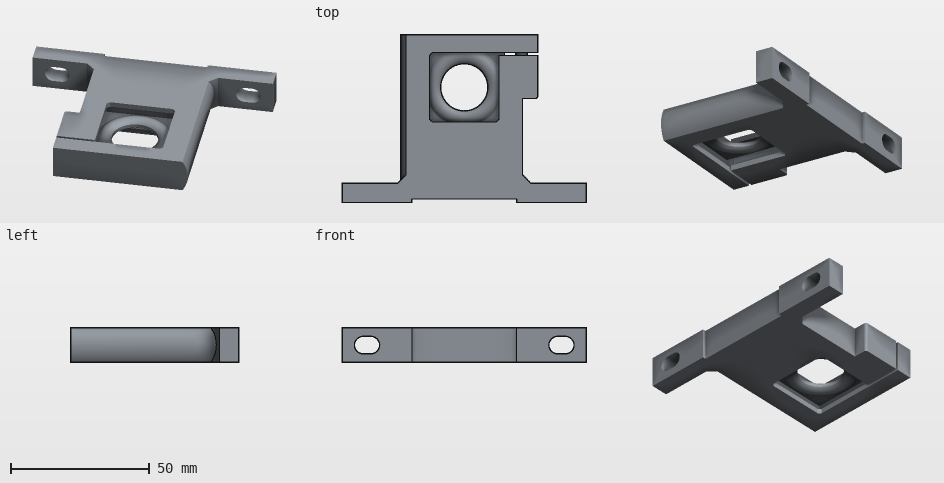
import cadquery as cq
import math

THICKNESS = 12.5
MID_Z = THICKNESS / 2
OVERALL_HEIGHT = 60.5

FOOT_LENGTH = 88.0
FOOT_HEIGHT = 7.0
FOOT_RELIEF_WIDTH = 37.7
FOOT_RELIEF_DEPTH = 1.25
GUSSET = 3.0
SLOT_LENGTH = 9.0
SLOT_WIDTH = 6.2
SLOT_CENTER_X = 35.0

PLATE_WIDTH = 42.0
HALF_PLATE = PLATE_WIDTH / 2
ARCH_HEIGHT = 1.9

EAR_REACH = 26.5
EAR_BOTTOM_Y = 37.4
EAR_FILLET = 1.0
CLAMP_GAP = 1.0

WINDOW_SIZE = 25.0
WINDOW_CENTER_Y = 41.5
WINDOW_CORNER_CHAMFER = 1.0
WINDOW_TOP_Y = WINDOW_CENTER_Y + WINDOW_SIZE / 2
LIP_THICKNESS = 2.0

FLANGE_SIZE = 29.0
FLANGE_THICKNESS = 0.9
BORE_RADIUS = 8.45
CROWN_CENTER_RADIUS = 11.1
CROWN_RADIUS = 3.6
BEAD_OUTER_RADIUS = 14.4
BEAD_FILLET = 1.0

SCREW_DIAMETER = 4.2
SCREW_X = 20.6
SCREW_LENGTH = 18.0


def centered_box(width, height, depth, center_y):
    """Box centred on X = 0, the given Y and the mid plane."""
    return cq.Workplane("XY").box(width, height, depth).translate((0, center_y, MID_Z))


def make_screw():
    """Plain pin from the outer face of the upper ear, ending blind inside the lower ear."""
    screw_end = cq.Workplane("XZ", origin=(SCREW_X, OVERALL_HEIGHT, MID_Z))
    return screw_end.circle(SCREW_DIAMETER / 2).extrude(SCREW_LENGTH)


def make_body_blank():
    """Foot, gussets, upright plate and clamp ears as one slab."""
    half_foot = FOOT_LENGTH / 2
    half_relief = FOOT_RELIEF_WIDTH / 2
    gusset_x = HALF_PLATE + GUSSET
    gusset_y = FOOT_HEIGHT + GUSSET
    outline = [
        (-half_foot, 0),
        (-half_relief, 0),
        (-half_relief, FOOT_RELIEF_DEPTH),
        (half_relief, FOOT_RELIEF_DEPTH),
        (half_relief, 0),
        (half_foot, 0),
        (half_foot, FOOT_HEIGHT),
        (gusset_x, FOOT_HEIGHT),
        (HALF_PLATE, gusset_y),
        (HALF_PLATE, EAR_BOTTOM_Y),
        (EAR_REACH, EAR_BOTTOM_Y),
        (EAR_REACH, OVERALL_HEIGHT),
        (-HALF_PLATE, OVERALL_HEIGHT),
        (-HALF_PLATE, gusset_y),
        (-gusset_x, FOOT_HEIGHT),
        (-half_foot, FOOT_HEIGHT),
    ]
    blank = cq.Workplane("XY").polyline(outline).close().extrude(THICKNESS)
    ear_corner = cq.selectors.NearestToPointSelector((EAR_REACH, EAR_BOTTOM_Y, MID_Z))
    return blank.edges(ear_corner).fillet(EAR_FILLET)


def make_edge_arch():
    """Arched rib along the left edge, running down into the gusset."""
    return (
        cq.Workplane("XZ", origin=(0, OVERALL_HEIGHT, 0))
        .moveTo(-HALF_PLATE, 0)
        .threePointArc((-HALF_PLATE - ARCH_HEIGHT, MID_Z), (-HALF_PLATE, THICKNESS))
        .close()
        .extrude(OVERALL_HEIGHT - FOOT_HEIGHT)
    )


def cut_window(body):
    """Open the window, its flange groove and the gap between the ears."""
    window = centered_box(WINDOW_SIZE, WINDOW_SIZE, THICKNESS, WINDOW_CENTER_Y)
    window = window.edges("|Z").edges("<X or <Y").chamfer(WINDOW_CORNER_CHAMFER)
    groove = centered_box(FLANGE_SIZE, FLANGE_SIZE, THICKNESS - 2 * LIP_THICKNESS, WINDOW_CENTER_Y)
    gap = cq.Workplane("XY").box(EAR_REACH, CLAMP_GAP, THICKNESS, centered=False)
    gap = gap.translate((0, WINDOW_TOP_Y - CLAMP_GAP, 0))
    return body.cut(window).cut(groove).cut(gap)


def cut_mounting_slots(body):
    """Rounded slots through the foot, one at each end."""
    slots = (
        cq.Workplane("XZ", origin=(0, FOOT_HEIGHT, MID_Z))
        .pushPoints([(-SLOT_CENTER_X, 0), (SLOT_CENTER_X, 0)])
        .slot2D(SLOT_LENGTH, SLOT_WIDTH)
        .extrude(FOOT_HEIGHT)
    )
    return body.cut(slots)


def make_holder(screw):
    body = make_body_blank().union(make_edge_arch())
    body = cut_window(body)
    body = cut_mounting_slots(body)
    return body.cut(screw)


def make_bead():
    """Ring around the bore, crowned on both faces and blended out to the flange by fillets."""
    flange_top = FLANGE_THICKNESS / 2
    center_distance = CROWN_RADIUS + BEAD_FILLET
    lean = math.asin((BEAD_OUTER_RADIUS - CROWN_CENTER_RADIUS) / center_distance)
    crown_center_z = flange_top + BEAD_FILLET - center_distance * math.cos(lean)

    def crown_point(angle, side):
        radius = CROWN_CENTER_RADIUS + CROWN_RADIUS * math.sin(angle)
        return radius, side * (crown_center_z + CROWN_RADIUS * math.cos(angle))

    def fillet_point(angle, side):
        radius = BEAD_OUTER_RADIUS - BEAD_FILLET * math.sin(angle)
        return radius, side * (flange_top + BEAD_FILLET * (1 - math.cos(angle)))

    bore_angle = math.asin((BORE_RADIUS - CROWN_CENTER_RADIUS) / CROWN_RADIUS)
    return (
        cq.Workplane("XZ")
        .moveTo(*crown_point(bore_angle, -1))
        .lineTo(*crown_point(bore_angle, 1))
        .threePointArc(crown_point(0, 1), crown_point(lean, 1))
        .threePointArc(fillet_point(lean / 2, 1), fillet_point(0, 1))
        .lineTo(*fillet_point(0, -1))
        .threePointArc(fillet_point(lean / 2, -1), crown_point(lean, -1))
        .threePointArc(crown_point(0, -1), crown_point(bore_angle, -1))
        .close()
        .revolve(360, (0, 0, 0), (0, 1, 0))
    )


def make_eyelet():
    flange = cq.Workplane("XY").box(FLANGE_SIZE, FLANGE_SIZE, FLANGE_THICKNESS)
    flange = flange.faces(">Z").workplane().hole(2 * BEAD_OUTER_RADIUS)
    eyelet = flange.union(make_bead())
    return eyelet.translate((0, WINDOW_CENTER_Y, MID_Z))


screw = make_screw()
holder = make_holder(screw)
eyelet = make_eyelet()

result = cq.Compound.makeCompound([holder.val(), eyelet.val(), screw.val()])